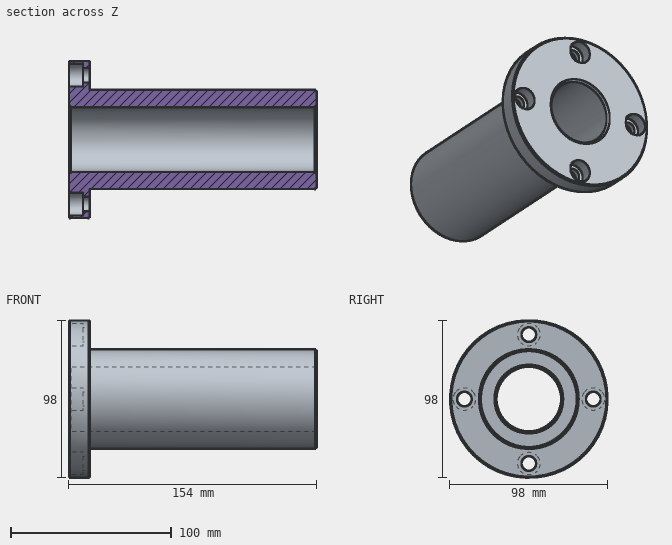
import cadquery as cq

total_length = 154.0
flange_diameter = 98.0
flange_thickness = 13.0
sleeve_diameter = 62.0
bore_diameter = 40.0

flange_chamfer = 0.8
sleeve_chamfer = 1.2
bore_chamfer = 1.4

hole_count = 4
hole_circle_diameter = 80.1
hole_diameter = 9.0
counterbore_diameter = 14.0
counterbore_depth = 8.6


def make_body():
    """Flange and sleeve as two coaxial chamfered cylinders."""
    flange = (
        cq.Workplane("YZ")
        .circle(flange_diameter / 2)
        .extrude(flange_thickness)
        .edges()
        .chamfer(flange_chamfer)
    )
    sleeve = (
        cq.Workplane("YZ")
        .circle(sleeve_diameter / 2)
        .extrude(total_length)
        .faces(">X")
        .edges()
        .chamfer(sleeve_chamfer)
    )
    return flange.union(sleeve)


def cut_bore(body):
    """Through bore with a chamfer at both mouths."""
    bored = body.cut(cq.Workplane("YZ").circle(bore_diameter / 2).extrude(total_length))
    bore_mouths = cq.selectors.RadiusNthSelector(0)
    return bored.edges(bore_mouths).chamfer(bore_chamfer)


def cut_mounting_holes(body):
    """Ring of screw holes counterbored from the flange face."""
    return (
        body.faces("<X")
        .workplane(origin=(0, 0, 0))
        .polarArray(hole_circle_diameter / 2, 0, 360, hole_count)
        .cboreHole(hole_diameter, counterbore_diameter, counterbore_depth, flange_thickness)
    )


result = cut_mounting_holes(cut_bore(make_body()))